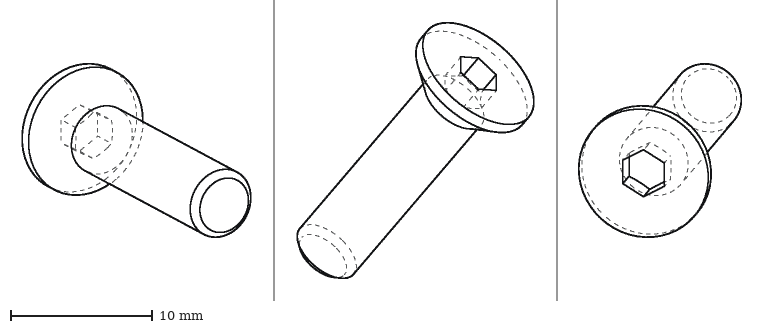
import cadquery as cq
import math

length = 20.0
head_diameter = 9.42
shank_diameter = 5.0
rim_thickness = 0.9
tip_chamfer = 0.5
socket_across_flats = 3.0
socket_depth = 1.9
floor_cone_angle = 120.0

head_radius = head_diameter / 2
shank_radius = shank_diameter / 2
head_length = rim_thickness + head_radius - shank_radius
socket_corner_radius = socket_across_flats / math.sqrt(3)
floor_cone_height = socket_corner_radius / math.tan(math.radians(floor_cone_angle / 2))


def revolve_about_x(points):
    """Revolve a closed (X, radius) outline about the X axis."""
    return cq.Workplane("XY").polyline(points).close().revolve(360, (0, 0, 0), (1, 0, 0))


def make_body():
    """Head with cylindrical rim, countersink, shank and chamfered tip."""
    return revolve_about_x([
        (0, 0),
        (0, head_radius),
        (rim_thickness, head_radius),
        (head_length, shank_radius),
        (length - tip_chamfer, shank_radius),
        (length, shank_radius - tip_chamfer),
        (length, 0),
    ])


def make_socket():
    """Hexagonal socket with corners on the Z axis and a conical floor."""
    socket_tip = socket_depth + floor_cone_height
    hexagon = (
        cq.Workplane("YZ")
        .transformed(rotate=(0, 0, 90))
        .polygon(6, 2 * socket_corner_radius)
        .extrude(socket_tip)
    )
    envelope = revolve_about_x([
        (0, 0),
        (0, socket_corner_radius),
        (socket_depth, socket_corner_radius),
        (socket_tip, 0),
    ])
    return hexagon.intersect(envelope)


result = make_body().cut(make_socket())